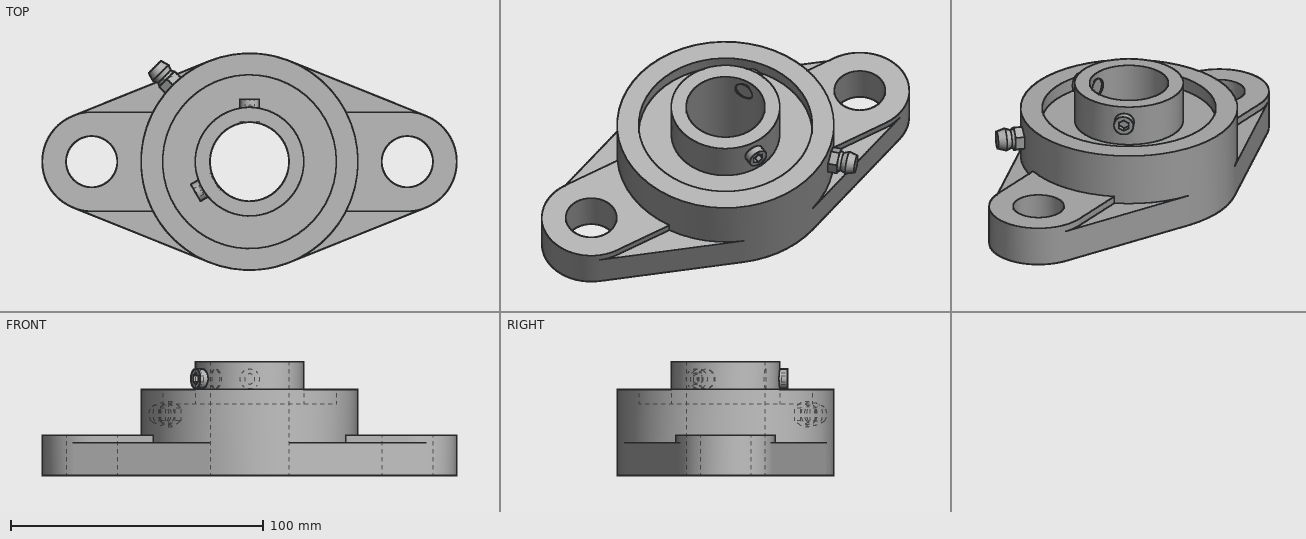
import cadquery as cq
import math

flange_length = 164.4
housing_diameter = 86.0
lug_diameter = 39.3
bolt_hole_diameter = 20.2
plate_height = 13.2
lug_height = 16.1

housing_height = 34.2
recess_diameter = 68.9
recess_depth = 5.6

ring_diameter = 43.0
ring_top = 45.2
bore_diameter = 31.2

screw_diameter = 7.7
screw_z = 38.5
screw_inner_radius = 16.0
screw_outer_radius = 24.7
socket_flats = 4.0
socket_depth = 2.5
screw_angles = (90, 210)

nipple_angle = 135
nipple_z = 24.5
nipple_hex_flats = 8.7
nipple_root = 39.5
nipple_hex_end = 46.4
nipple_neck = 47.7
nipple_ridge = 49.8
nipple_tip = 53.1
collar_radius = 4.1
neck_radius = 3.6
ridge_radius = 4.5
tip_radius = 3.5

housing_radius = housing_diameter / 2
lug_radius = lug_diameter / 2
lug_x = flange_length / 2 - lug_radius
recess_floor = housing_height - recess_depth


def cylinder(diameter, bottom, top):
    return cq.Workplane("XY").workplane(offset=bottom).circle(diameter / 2).extrude(top - bottom)


def radial_plane(angle, radius, z):
    """Plane facing outward at the given angle, with its local y axis along Z."""
    a = math.radians(angle)
    outward = (math.cos(a), math.sin(a), 0)
    origin = (radius * outward[0], radius * outward[1], z)
    return cq.Plane(origin=origin, xDir=(-outward[1], outward[0], 0), normal=outward)


def upright_hexagon(plane, across_flats, length):
    """Hexagonal prism along the plane normal, with one corner pointing up."""
    across_corners = across_flats / math.cos(math.radians(30))
    workplane = cq.Workplane(plane).transformed(rotate=(0, 0, 90))
    return workplane.polygon(6, across_corners).extrude(length)


def make_flange():
    tangent_cos = (housing_radius - lug_radius) / lug_x
    tangent_sin = math.sqrt(1 - tangent_cos**2)
    housing_x = housing_radius * tangent_cos
    housing_y = housing_radius * tangent_sin
    end_x = lug_x + lug_radius * tangent_cos
    end_y = lug_radius * tangent_sin
    plate = (
        cq.Workplane("XY")
        .polyline([
            (housing_x, housing_y),
            (end_x, end_y),
            (end_x, -end_y),
            (housing_x, -housing_y),
            (-housing_x, -housing_y),
            (-end_x, -end_y),
            (-end_x, end_y),
            (-housing_x, housing_y),
        ])
        .close()
        .extrude(plate_height)
    )
    lugs = cq.Workplane("XY").slot2D(flange_length, lug_diameter).extrude(lug_height)
    bolt_holes = (
        cq.Workplane("XY")
        .pushPoints([(-lug_x, 0), (lug_x, 0)])
        .circle(bolt_hole_diameter / 2)
        .extrude(lug_height)
    )
    return plate.union(lugs).cut(bolt_holes)


def make_screw_hole(angle):
    plane = radial_plane(angle, 0, screw_z)
    return cq.Workplane(plane).circle(screw_diameter / 2).extrude(screw_outer_radius)


def make_set_screw(angle):
    screw = (
        cq.Workplane(radial_plane(angle, screw_inner_radius, screw_z))
        .circle(screw_diameter / 2)
        .extrude(screw_outer_radius - screw_inner_radius)
    )
    socket_plane = radial_plane(angle, screw_outer_radius - socket_depth, screw_z)
    return screw.cut(upright_hexagon(socket_plane, socket_flats, socket_depth))


def make_grease_nipple():
    root_plane = radial_plane(nipple_angle, nipple_root, nipple_z)
    hexagon = upright_hexagon(root_plane, nipple_hex_flats, nipple_hex_end - nipple_root)
    head = (
        cq.Workplane("XY")
        .polyline([
            (0, nipple_root),
            (collar_radius, nipple_root),
            (collar_radius, nipple_hex_end),
            (neck_radius, nipple_neck),
            (ridge_radius, nipple_ridge),
            (tip_radius, nipple_tip),
            (0, nipple_tip),
        ])
        .close()
        .revolve(360, (0, 0, 0), (0, 1, 0))
        .rotate((0, 0, 0), (0, 0, 1), nipple_angle - 90)
        .translate((0, 0, nipple_z))
    )
    return hexagon.union(head)


result = make_flange()
result = result.union(cylinder(housing_diameter, 0, housing_height))
result = result.cut(cylinder(recess_diameter, recess_floor, housing_height))
result = result.union(cylinder(ring_diameter, 0, ring_top))
result = result.union(make_grease_nipple())
result = result.cut(cylinder(bore_diameter, 0, ring_top))
for screw_angle in screw_angles:
    result = result.cut(make_screw_hole(screw_angle))
    result = result.union(make_set_screw(screw_angle))